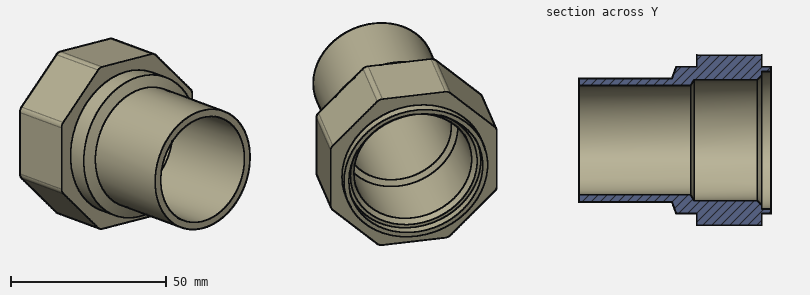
import cadquery as cq
import math

total_length = 62.0

body_diameter = 47.5
spigot_diameter = 40.0
spigot_start = 32.0
shoulder_angle = 20.0

grip_across_flats = 55.0
grip_start = 3.0
grip_end = 24.0
grip_corner_radius = 2.4
grip_side_count = 8

mouth_diameter = 44.3
mouth_depth = 3.0
lead_in_diameter = 41.91
socket_diameter = 38.95
lead_in_angle = 45.0
socket_end = 24.85
through_diameter = 35.2
socket_floor_angle = 30.0


def cone_length(large_diameter, small_diameter, angle):
    """Length along the axis of a cone whose wall leans by angle from the plane square to the axis."""
    return (large_diameter - small_diameter) / 2 * math.tan(math.radians(angle))


shoulder_start = spigot_start - cone_length(body_diameter, spigot_diameter, shoulder_angle)
lead_in_end = mouth_depth + cone_length(lead_in_diameter, socket_diameter, lead_in_angle)
through_start = socket_end + cone_length(socket_diameter, through_diameter, socket_floor_angle)


def revolve_profile(stations):
    """Solid of revolution about X through (x position, diameter) stations."""
    first_x = stations[0][0]
    last_x = stations[-1][0]
    outline = [(first_x, 0)]
    outline += [(x, diameter / 2) for x, diameter in stations]
    outline.append((last_x, 0))
    return cq.Workplane("XY").polyline(outline).close().revolve(360, (0, 0, 0), (1, 0, 0))


def make_body():
    """Socket body, conical shoulder and spigot, still without the bore."""
    return revolve_profile([
        (0, body_diameter),
        (shoulder_start, body_diameter),
        (spigot_start, spigot_diameter),
        (total_length, spigot_diameter),
    ])


def make_grip():
    """Octagonal grip with flats facing Y and Z and rounded corners."""
    half_side_angle = 180 / grip_side_count
    across_corners = grip_across_flats / math.cos(math.radians(half_side_angle))
    return (
        cq.Workplane("YZ", origin=(grip_start, 0, 0))
        .polygon(grip_side_count, across_corners)
        .extrude(grip_end - grip_start)
        .rotate((0, 0, 0), (1, 0, 0), half_side_angle)
        .edges("|X")
        .fillet(grip_corner_radius)
    )


def make_bore():
    """Stepped bore: mouth recess, conical lead-in, socket, conical floor, through hole."""
    return revolve_profile([
        (0, mouth_diameter),
        (mouth_depth, mouth_diameter),
        (mouth_depth, lead_in_diameter),
        (lead_in_end, socket_diameter),
        (socket_end, socket_diameter),
        (through_start, through_diameter),
        (total_length, through_diameter),
    ])


result = make_body().union(make_grip()).cut(make_bore())